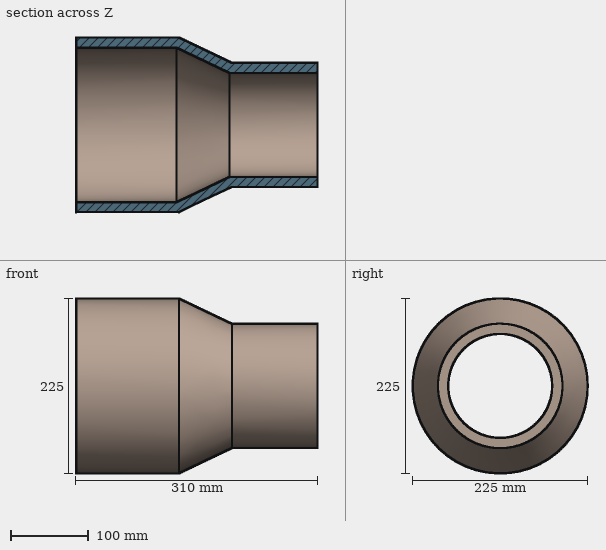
import math

import cadquery as cq

total_length = 310.0
large_length = 132.0
small_length = 110.0
large_outer_diameter = 225.0
small_outer_diameter = 160.0
wall_thickness = 13.4

large_bore_diameter = large_outer_diameter - 2 * wall_thickness
small_bore_diameter = small_outer_diameter - 2 * wall_thickness

cone_start = large_length
cone_end = total_length - small_length
cone_angle = math.atan2((large_outer_diameter - small_outer_diameter) / 2, cone_end - cone_start)

bore_cone_shift = wall_thickness * math.tan(cone_angle / 2)


def reducer_body(large_diameter, small_diameter, taper_start, taper_end):
    """Solid of revolution about X: large cylinder, cone, small cylinder."""
    large_radius = large_diameter / 2
    small_radius = small_diameter / 2
    half_profile = [
        (0, 0),
        (0, large_radius),
        (taper_start, large_radius),
        (taper_end, small_radius),
        (total_length, small_radius),
        (total_length, 0),
    ]
    return cq.Workplane("XY").polyline(half_profile).close().revolve(360, (0, 0, 0), (1, 0, 0))


outer_body = reducer_body(large_outer_diameter, small_outer_diameter, cone_start, cone_end)
bore = reducer_body(
    large_bore_diameter,
    small_bore_diameter,
    cone_start - bore_cone_shift,
    cone_end - bore_cone_shift,
)

result = outer_body.cut(bore)